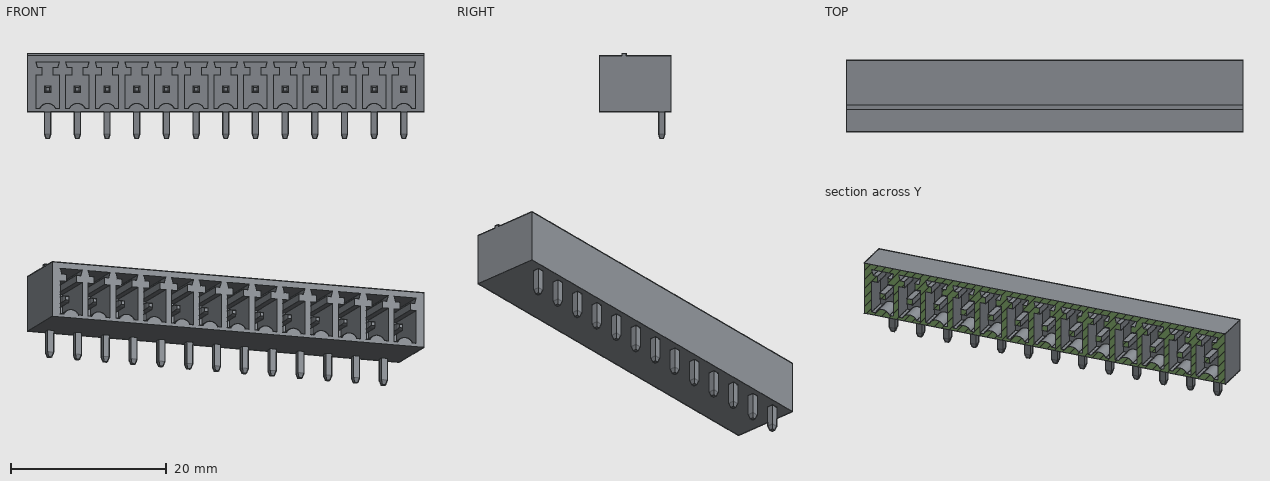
import cadquery as cq


contact_count = 13
pitch = 3.81
end_margin = 2.6

housing_length = (contact_count - 1) * pitch + 2 * end_margin
housing_depth = 9.2
housing_height = 7.2
back_wall = 2.0

ridge_height = 0.3
ridge_width = 0.6
ridge_from_front = 3.17

socket_width = 3.0
socket_bottom = 0.45
socket_top = 6.4
shoulder_height = 4.75
neck_width = 1.4
key_bottom = 5.67
key_bottom_width = 2.6

rib_base_width = 2.0
rib_height = 0.63

pin_size = 0.83
pin_height = 2.92
pin_recess = 1.5
tail_from_back = 1.2
tail_length = 3.45
tip_length = 0.6
tip_size = 0.45

front_y = -housing_depth / 2
back_y = housing_depth / 2
contact_places = [(i - (contact_count - 1) / 2) * pitch for i in range(contact_count)]


def make_housing():
    body = cq.Workplane("XY").box(
        housing_length, housing_depth, housing_height, centered=(True, True, False)
    )
    ridge = (
        cq.Workplane("XY", origin=(0, front_y + ridge_from_front, housing_height))
        .rect(housing_length, ridge_width)
        .extrude(ridge_height)
    )
    return body.union(ridge)


def make_socket(x):
    """Solid filling one socket, to be cut from the housing."""
    half_socket = socket_width / 2
    half_neck = neck_width / 2
    half_key = key_bottom_width / 2
    half_rib = rib_base_width / 2
    return (
        cq.Workplane("XZ", origin=(x, front_y, 0))
        .moveTo(half_rib, socket_bottom)
        .lineTo(half_socket, socket_bottom)
        .lineTo(half_socket, shoulder_height)
        .lineTo(half_neck, shoulder_height)
        .lineTo(half_neck, key_bottom)
        .lineTo(half_key, key_bottom)
        .lineTo(half_socket, socket_top)
        .lineTo(-half_socket, socket_top)
        .lineTo(-half_key, key_bottom)
        .lineTo(-half_neck, key_bottom)
        .lineTo(-half_neck, shoulder_height)
        .lineTo(-half_socket, shoulder_height)
        .lineTo(-half_socket, socket_bottom)
        .lineTo(-half_rib, socket_bottom)
        .threePointArc((0, socket_bottom + rib_height), (half_rib, socket_bottom))
        .close()
        .extrude(-(housing_depth - back_wall))
    )


def make_bar(start_plane, length):
    """Square bar of the given length whose far end tapers to a blunt tip."""
    shank = cq.Workplane(start_plane).rect(pin_size, pin_size).extrude(length - tip_length)
    return (
        shank.faces(cq.selectors.DirectionMinMaxSelector(start_plane.zDir, True))
        .workplane()
        .rect(pin_size, pin_size)
        .workplane(offset=tip_length)
        .rect(tip_size, tip_size)
        .loft(combine=True)
    )


def make_contact(x):
    """L-shaped contact: mating arm toward -Y and solder tail toward -Z."""
    tail_y = back_y - tail_from_back
    arm_plane = cq.Plane(origin=(x, tail_y, pin_height), xDir=(1, 0, 0), normal=(0, -1, 0))
    tail_plane = cq.Plane(origin=(x, tail_y, pin_height), xDir=(1, 0, 0), normal=(0, 0, -1))
    arm = make_bar(arm_plane, tail_y - front_y - pin_recess)
    tail = make_bar(tail_plane, pin_height + tail_length)
    return arm.union(tail)


result = make_housing()
for place in contact_places:
    result = result.cut(make_socket(place))
for place in contact_places:
    result = result.union(make_contact(place))